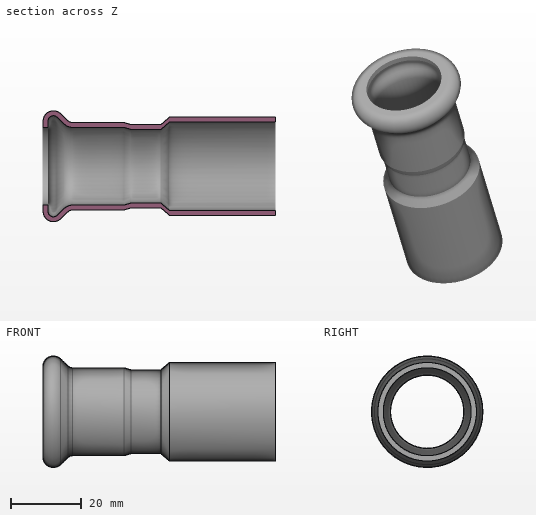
import cadquery as cq
import math

length = 66.0
wall = 1.5

bead_outer_radius = 31.6 / 2
bead_section_radius = 3.0
mouth_radius = 10.9

socket_radius = 12.5
neck_radius = 11.9
spigot_radius = 14.0
socket_start = 8.45
socket_end = 23.05
neck_start = 25.0
neck_end = 33.45
spigot_start = 35.9

blend_radius = 2.0

bead_center = (bead_section_radius, bead_outer_radius - bead_section_radius)
blend_center = (socket_start, socket_radius + blend_radius)

center_dx = blend_center[0] - bead_center[0]
center_dr = blend_center[1] - bead_center[1]
cone_normal_angle = math.atan2(center_dr, center_dx) + math.acos(
    (bead_section_radius + blend_radius) / math.hypot(center_dx, center_dr)
)


def arc_point(center, radius, angle):
    """Point (x, r) on an arc, with the angle measured from +X towards +r."""
    return (
        center[0] + radius * math.cos(angle),
        center[1] + radius * math.sin(angle),
    )


def surface_profile(inset):
    """Bead, blend and stepped tube outline, set inside the outer skin by inset."""
    bead = bead_section_radius - inset
    blend = blend_radius + inset
    bead_mid_angle = (math.pi + cone_normal_angle) / 2
    blend_start_angle = cone_normal_angle + math.pi
    blend_end_angle = 1.5 * math.pi
    blend_mid_angle = (blend_start_angle + blend_end_angle) / 2
    return (
        cq.Workplane("XY")
        .moveTo(inset, 0)
        .lineTo(inset, bead_center[1])
        .threePointArc(
            arc_point(bead_center, bead, bead_mid_angle),
            arc_point(bead_center, bead, cone_normal_angle),
        )
        .lineTo(*arc_point(blend_center, blend, blend_start_angle))
        .threePointArc(
            arc_point(blend_center, blend, blend_mid_angle),
            arc_point(blend_center, blend, blend_end_angle),
        )
        .lineTo(socket_end, socket_radius - inset)
        .lineTo(neck_start, neck_radius - inset)
        .lineTo(neck_end, neck_radius - inset)
        .lineTo(spigot_start, spigot_radius - inset)
        .lineTo(length, spigot_radius - inset)
        .lineTo(length, 0)
        .close()
    )


def revolve_about_x(profile):
    return profile.revolve(360, (0, 0, 0), (1, 0, 0))


outer_body = revolve_about_x(surface_profile(0))
cavity = revolve_about_x(surface_profile(wall))

mouth = cq.Workplane("YZ").circle(mouth_radius).extrude(socket_start)

result = outer_body.cut(cavity).cut(mouth)